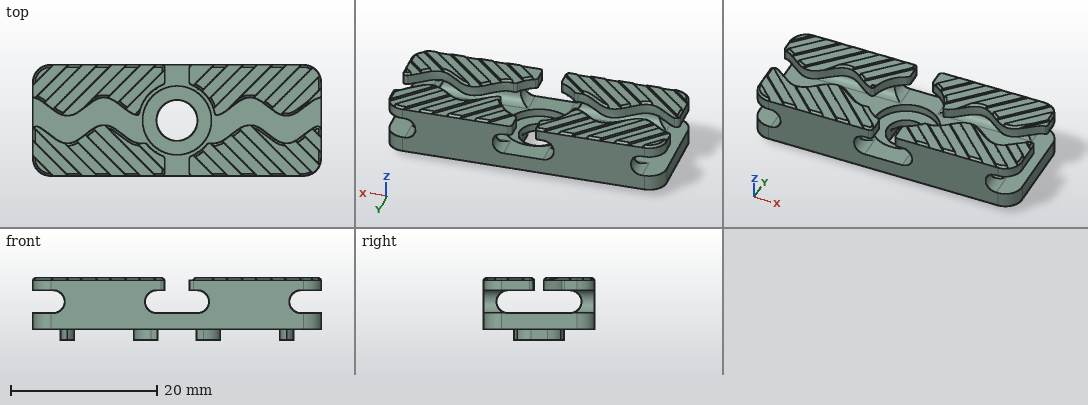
import cadquery as cq
import math

LENGTH = 39.5
WIDTH = 15.25
CORNER_R = 2.5
BASE_T = 2.25
SLOT_H = 3.1
PAD_T = 1.75
PAD_Z = BASE_T + SLOT_H

LONG_SLOT_W = 11.6
CROSS_SLOT_W = 8.73

BORE_D = 5.55
HEAD_D = 9.45
HEAD_DEPTH = 1.15

PAD_GAP = 3.35
CLEARANCE_R = 5.25
WAVE_LENGTH = 10.0
WAVE_AMPLITUDE = 1.25
WAVE_OFFSET = 1.9
GAP_CORNER_R = 0.5
FRONT_WAVE_CORNER_R = 0.5
REAR_WAVE_CORNER_R = 0.35
POINTS_PER_WAVE = 12
HALVINGS = 40

RIB_H = 0.3
RIB_ANGLE = 45
RIB_PITCH = 4.0
RIB_W = 1.35
RIBS_PER_PAD = 6
FIRST_RIB_X = -1.58

PEG_H = 1.45
PEG_WIDTH = 6.87
PEG_CORNER_R = 2.35
INNER_PEG_OUTER_X = 5.92
INNER_PEG_INNER_X = 2.65
LENS_X = 15.0
LENS_T = 1.9


def rounded_block(length, width, height, radius):
    return cq.Workplane("XY").rect(length, width).extrude(height).edges("|Z").fillet(radius)


def slot_along_x():
    """Slot along X, through the whole length."""
    return (
        cq.Workplane("YZ", origin=(-LENGTH, 0, BASE_T + SLOT_H / 2))
        .slot2D(LONG_SLOT_W, SLOT_H)
        .extrude(2 * LENGTH)
    )


def slot_along_y(x):
    """Slot along Y, through the whole width."""
    return (
        cq.Workplane("XZ", origin=(x, WIDTH, BASE_T + SLOT_H / 2))
        .slot2D(CROSS_SLOT_W, SLOT_H)
        .extrude(2 * WIDTH)
    )


def slotted_body():
    body = rounded_block(LENGTH, WIDTH, PAD_Z, CORNER_R).cut(slot_along_x())
    for x in (-LENGTH / 2, 0, LENGTH / 2):
        body = body.cut(slot_along_y(x))
    return body


def wave_y(x, y_side):
    """Inner edge of the pads: a cosine of X shifted towards the front or rear side."""
    return y_side * WAVE_OFFSET + WAVE_AMPLITUDE * math.cos(2 * math.pi * x / WAVE_LENGTH)


def wave_meets_clearance(y_side):
    """Positive X where the wave crosses the clearance circle, found by halving an interval."""
    low = 0.0
    high = CLEARANCE_R
    for _ in range(HALVINGS):
        middle = (low + high) / 2
        if math.hypot(middle, wave_y(middle, y_side)) < CLEARANCE_R:
            low = middle
        else:
            high = middle
    return low


def clearance_y(x, y_side):
    return y_side * math.sqrt(CLEARANCE_R**2 - x**2)


def round_edge(pad, point, radius):
    nearest = cq.selectors.NearestToPointSelector((*point, PAD_Z + PAD_T / 2))
    return pad.edges("|Z").edges(nearest).fillet(radius)


def ribbed_envelope(x_side, y_side):
    """Space a ribbed pad may fill: a plain slab with diagonal ribs standing on it."""
    floor_t = PAD_T - RIB_H
    envelope = cq.Workplane("XY").box(2 * LENGTH, 2 * WIDTH, floor_t, centered=(True, True, False))
    first_x = FIRST_RIB_X if x_side > 0 else FIRST_RIB_X - RIBS_PER_PAD * RIB_PITCH
    for i in range(RIBS_PER_PAD):
        rib = (
            cq.Workplane("XY")
            .box(RIB_W, 2 * WIDTH, PAD_T, centered=(True, True, False))
            .rotate((0, 0, 0), (0, 0, 1), -RIB_ANGLE * y_side)
            .translate((first_x + i * RIB_PITCH, 0, 0))
        )
        envelope = envelope.union(rib)
    return envelope.translate((0, 0, PAD_Z))


def top_pad(x_side, y_side):
    """Pad between an outer corner of the body, the gap, the clearance circle and the wave."""
    x_in = PAD_GAP / 2
    x_tip = wave_meets_clearance(y_side)
    x_out = LENGTH / 2
    x_arc = (x_in + x_tip) / 2
    steps = math.ceil((x_out - x_tip) / WAVE_LENGTH * POINTS_PER_WAVE)
    wave_xs = [x_tip + (x_out - x_tip) * i / steps for i in range(steps + 1)]
    wave = [(x_side * x, wave_y(x, y_side)) for x in wave_xs]

    gap_outer = (x_side * x_in, y_side * WIDTH / 2)
    gap_inner = (x_side * x_in, clearance_y(x_in, y_side))
    arc_middle = (x_side * x_arc, clearance_y(x_arc, y_side))
    body_corner = (x_side * x_out, y_side * WIDTH / 2)
    pad = (
        cq.Workplane("XY", origin=(0, 0, PAD_Z))
        .moveTo(*gap_outer)
        .lineTo(*gap_inner)
        .threePointArc(arc_middle, wave[0])
        .spline(wave[1:], includeCurrent=True)
        .lineTo(*body_corner)
        .close()
        .extrude(PAD_T)
    )

    wave_corner_r = REAR_WAVE_CORNER_R if y_side > 0 else FRONT_WAVE_CORNER_R
    pad = round_edge(pad, body_corner, CORNER_R)
    pad = round_edge(pad, gap_outer, GAP_CORNER_R)
    pad = round_edge(pad, gap_inner, GAP_CORNER_R)
    pad = round_edge(pad, wave[0], wave_corner_r)
    pad = round_edge(pad, wave[-1], wave_corner_r)
    pad = pad.faces(">Z").edges().chamfer(RIB_H)
    return pad.intersect(ribbed_envelope(x_side, y_side))


def peg_bar():
    return rounded_block(2 * INNER_PEG_OUTER_X, PEG_WIDTH, PEG_H, PEG_CORNER_R)


def inner_pegs():
    """Rounded bar split in two by a wide gap around the bore."""
    bar = peg_bar()
    gap = cq.Workplane("XY").rect(2 * INNER_PEG_INNER_X, PEG_WIDTH).extrude(PEG_H)
    return bar.cut(gap)


def lens_peg(x):
    """Overlap of two rounded bars that meet end to end."""
    bar = peg_bar()
    shift = INNER_PEG_OUTER_X - LENS_T / 2
    return bar.translate((x - shift, 0, 0)).intersect(bar.translate((x + shift, 0, 0)))


result = slotted_body()
for side_x in (-1, 1):
    for side_y in (-1, 1):
        result = result.union(top_pad(side_x, side_y))

pegs = inner_pegs().union(lens_peg(-LENS_X)).union(lens_peg(LENS_X))
result = result.union(pegs.translate((0, 0, -PEG_H)))

head = cq.Workplane("XY", origin=(0, 0, BASE_T - HEAD_DEPTH)).circle(HEAD_D / 2).extrude(HEAD_DEPTH)
bore = cq.Workplane("XY", origin=(0, 0, -PEG_H)).circle(BORE_D / 2).extrude(PEG_H + BASE_T)
result = result.cut(head).cut(bore)